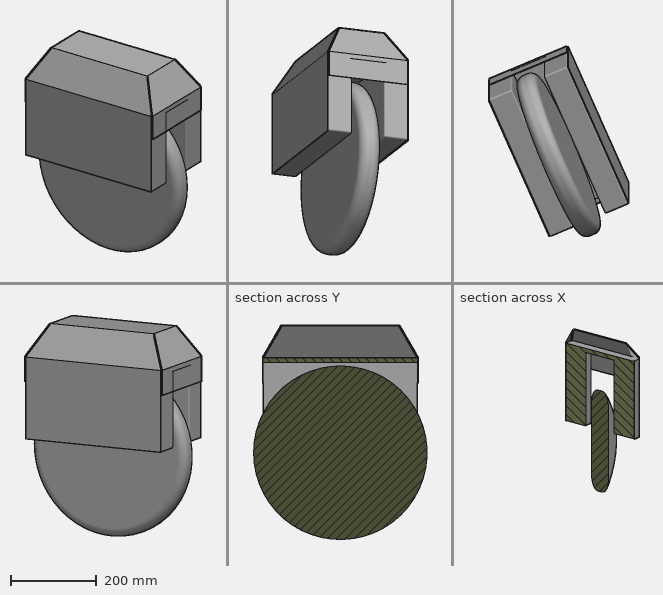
import cadquery as cq
import math

OVERALL_HEIGHT = 502.0

SHEET = 2.0
BEND_RADIUS = 4.0
HOOD_LENGTH = 364.5
HOOD_WIDTH = 204.0
ROOF_HEIGHT = 75.5
ROOF_SLOPE = 30.0
SIDE_BOTTOM = 231.0
END_BOTTOM = 366.5
SIDE_PANEL_LENGTH = 356.5
END_PANEL_WIDTH = 197.0
MITRE_GAP = 2.0

WHEEL_DIAMETER = 406.5
WHEEL_WIDTH = 50.5
RIM_RADIUS = 20.0

SLOT_WIDTH = 81.5
SLOT_CLEARANCE = 7.5
FRAME_EDGE_RADIUS = 4.0

EAVES = OVERALL_HEIGHT - ROOF_HEIGHT
ROOF_RUN = ROOF_HEIGHT * math.tan(math.radians(ROOF_SLOPE))
EAVES_DROP = SHEET * math.tan(math.radians(ROOF_SLOPE / 2))
RIDGE_INSET = SHEET * math.tan(math.radians((90 - ROOF_SLOPE) / 2))
FRAME_LENGTH = HOOD_LENGTH - 2 * SHEET
FRAME_WIDTH = HOOD_WIDTH - 2 * SHEET
FRAME_BOTTOM = SIDE_BOTTOM
FRAME_TOP = EAVES - BEND_RADIUS * math.tan(math.radians(ROOF_SLOPE / 2))


def hat_section(half_span, half_top, bottom, eaves, top, radius, depth):
    """Prism along Y with upright sides, sloped shoulders and a flat top, bends rounded."""
    points = [
        (-half_span, bottom),
        (-half_span, eaves),
        (-half_top, top),
        (half_top, top),
        (half_span, eaves),
        (half_span, bottom),
    ]
    prism = cq.Workplane("XZ").polyline(points).close().extrude(depth / 2, both=True)
    return prism.edges("|Y").edges("not <Z").fillet(radius)


def folded_strip(span, bottom, depth):
    """Sheet bent down on both sides of the roof, running the given depth along Y."""
    half_span = span / 2
    half_top = half_span - ROOF_RUN
    outside = hat_section(half_span, half_top, bottom, EAVES, OVERALL_HEIGHT, BEND_RADIUS, depth)
    inside = hat_section(
        half_span - SHEET,
        half_top - RIDGE_INSET,
        bottom,
        EAVES - EAVES_DROP,
        OVERALL_HEIGHT - SHEET,
        BEND_RADIUS - SHEET,
        depth,
    )
    return outside.cut(inside)


def panel_area(span, cross_span, panel_width):
    """Plan area of a strip: the roof top plus two mitred panels of limited width, facing X."""
    half_top = span / 2 - ROOF_RUN
    cross_top = cross_span / 2 - ROOF_RUN
    mitre_start = cross_top - MITRE_GAP
    half_panel = panel_width / 2
    mitre_end = half_top + half_panel - mitre_start
    quarter = [
        (half_top, mitre_start),
        (mitre_end, half_panel),
        (span, half_panel),
    ]
    outline = quarter + [(x, -y) for x, y in reversed(quarter)]
    outline += [(-x, -y) for x, y in quarter] + [(-x, y) for x, y in reversed(quarter)]
    return cq.Workplane("XY").polyline(outline).close().extrude(OVERALL_HEIGHT)


def make_hood():
    ends = folded_strip(HOOD_LENGTH, END_BOTTOM, HOOD_WIDTH)
    ends = ends.intersect(panel_area(HOOD_LENGTH, HOOD_WIDTH, END_PANEL_WIDTH))
    sides = folded_strip(HOOD_WIDTH, SIDE_BOTTOM, HOOD_LENGTH)
    sides = sides.intersect(panel_area(HOOD_WIDTH, HOOD_LENGTH, SIDE_PANEL_LENGTH))
    sides = sides.rotate((0, 0, 0), (0, 0, 1), 90)
    return ends.union(sides)


def make_frame():
    block = cq.Workplane("XY", origin=(0, 0, FRAME_BOTTOM)).box(
        FRAME_LENGTH, FRAME_WIDTH, FRAME_TOP - FRAME_BOTTOM, centered=(True, True, False)
    )
    slot_height = WHEEL_DIAMETER + SLOT_CLEARANCE - FRAME_BOTTOM
    slot = cq.Workplane("XY", origin=(0, 0, FRAME_BOTTOM)).box(
        FRAME_LENGTH, SLOT_WIDTH, slot_height, centered=(True, True, False)
    )
    saddle = block.cut(slot)
    return saddle.edges("|Z or <Z").fillet(FRAME_EDGE_RADIUS)


def make_wheel():
    side_plane = cq.Workplane("XZ", origin=(0, WHEEL_WIDTH / 2, WHEEL_DIAMETER / 2))
    disc = side_plane.circle(WHEEL_DIAMETER / 2).extrude(WHEEL_WIDTH)
    return disc.edges("%CIRCLE").fillet(RIM_RADIUS)


hood = make_hood()
frame = make_frame()
wheel = make_wheel()

result = cq.Compound.makeCompound([hood.solids().val(), frame.solids().val(), wheel.solids().val()])